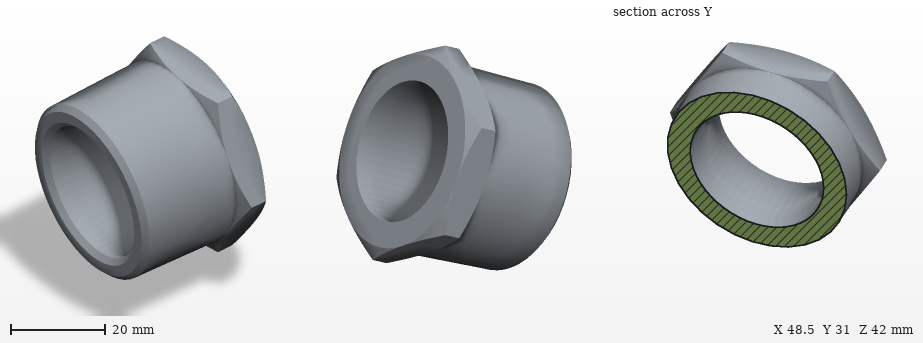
import cadquery as cq
import math


corner_width = 48.5
flat_width = corner_width * math.cos(math.radians(30))
head_length = 7.5
head_chamfer_angle = 30.0

total_length = 31.0
root_diameter = 41.9
tip_diameter = 40.65
tip_chamfer = 1.25

bore_diameter = 30.65
bore_mouth_diameter = 33.1

head_front = total_length - head_length


def revolve_about_y(profile):
    """Revolve a closed (radius, y) profile about the Y axis."""
    return cq.Workplane("XY").polyline(profile).close().revolve(360, (0, 0, 0), (0, 1, 0))


def make_head():
    """Hexagonal prism with corners on X, bevelled conically at both ends."""
    prism = (
        cq.Workplane("XZ", origin=(0, total_length, 0))
        .polygon(6, corner_width)
        .extrude(head_length)
    )
    face_radius = flat_width / 2
    corner_radius = corner_width / 2
    bevel = (corner_radius - face_radius) * math.tan(math.radians(head_chamfer_angle))
    envelope = revolve_about_y([
        (0, head_front),
        (face_radius, head_front),
        (corner_radius, head_front + bevel),
        (corner_radius, total_length - bevel),
        (face_radius, total_length),
        (0, total_length),
    ])
    return prism.intersect(envelope)


def make_spigot():
    """Tapered cylinder with a 45 degree chamfer at the tip, which lies at Y = 0."""
    tip_radius = tip_diameter / 2
    return revolve_about_y([
        (0, 0),
        (tip_radius - tip_chamfer, 0),
        (tip_radius, tip_chamfer),
        (root_diameter / 2, head_front),
        (0, head_front),
    ])


def make_bore():
    """Through bore with a 45 degree countersink at the tip."""
    bore_radius = bore_diameter / 2
    mouth_radius = bore_mouth_diameter / 2
    return revolve_about_y([
        (0, 0),
        (mouth_radius, 0),
        (bore_radius, mouth_radius - bore_radius),
        (bore_radius, total_length),
        (0, total_length),
    ])


result = make_head().union(make_spigot()).cut(make_bore())